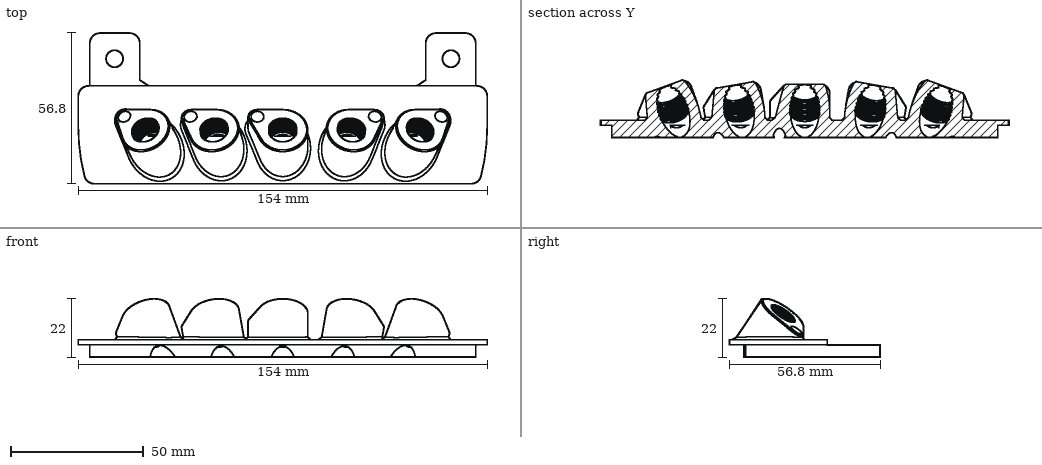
import cadquery as cq
import math

plate_length = 154.0
plate_depth = 37.0
plate_thickness = 2.0
plate_bow_start = 21.4
plate_bow_radius = 73.9
corner_radius = 4.0

frame_thickness = 4.6
frame_half_length = 72.7
bar_front = 5.5
bar_back = 18.0
bar_half_length = 64.5
leg_front = 6.2
leg_front_inner = 68.2
leg_corner_radius = 2.6
leg_inner = 50.5
tab_inner = 53.7
tab_end = 56.8
tab_step = 39.1
tab_hole_position = 63.3
tab_hole_y = 47.1
tab_hole_diameter = 6.3

socket_pitch = 25.9
socket_roll = 10.0
socket_tilt = 33.0
socket_face_y = 20.3
socket_diameter = 19.0
socket_rim_chamfer = 0.5
socket_base_chamfer = 1.0
pin_lobe_radius = 3.5
pin_offset = 9.5
pin_hole_diameter = 4.8
bore_diameter = 10.6
through_length = 61.6

thread_diameter = 11.4
thread_pitch = 1.2
thread_turns = 8
thread_land = 0.2

overall_height = 22.0
plate_top = frame_thickness + plate_thickness
socket_radius = socket_diameter / 2


def make_plate():
    half = plate_length / 2
    bow_at_front = plate_bow_radius - math.sqrt(plate_bow_radius**2 - plate_bow_start**2)
    bow_middle = plate_bow_start / 2
    bow_at_middle = plate_bow_radius - math.sqrt(plate_bow_radius**2 - bow_middle**2)
    return (
        cq.Workplane("XY", origin=(0, 0, frame_thickness))
        .moveTo(-half, plate_depth)
        .lineTo(half, plate_depth)
        .lineTo(half, plate_bow_start)
        .threePointArc((half - bow_at_middle, bow_middle), (half - bow_at_front, 0))
        .lineTo(bow_at_front - half, 0)
        .threePointArc((bow_at_middle - half, bow_middle), (-half, plate_bow_start))
        .close()
        .extrude(plate_thickness)
        .edges("|Z")
        .edges("<Y or >Y")
        .fillet(corner_radius)
    )


def make_frame():
    right_half = (
        cq.Workplane("XY")
        .moveTo(0, bar_front)
        .lineTo(bar_half_length, bar_front)
        .lineTo(leg_front_inner, leg_front)
        .lineTo(frame_half_length, leg_front)
        .lineTo(frame_half_length, tab_end)
        .lineTo(tab_inner, tab_end)
        .lineTo(tab_inner, tab_step)
        .lineTo(leg_inner, plate_depth)
        .lineTo(leg_inner, bar_back)
        .lineTo(0, bar_back)
        .close()
        .extrude(frame_thickness)
    )
    right_half = right_half.edges("|Z and >Y").fillet(corner_radius)
    front_corner = cq.selectors.NearestToPointSelector((frame_half_length, leg_front, frame_thickness / 2))
    right_half = right_half.edges(front_corner).fillet(leg_corner_radius)
    frame = right_half.union(right_half.mirror("YZ"))
    tab_holes = (
        cq.Workplane("XY")
        .pushPoints([(-tab_hole_position, tab_hole_y), (tab_hole_position, tab_hole_y)])
        .circle(tab_hole_diameter / 2)
        .extrude(frame_thickness)
    )
    return frame.cut(tab_holes)


def socket_plane(place):
    """Plane on the socket's upper face, leaning back by the tilt and sideways by the roll."""
    tilt = math.radians(socket_tilt)
    roll = math.radians(socket_roll * place)
    normal = (math.cos(tilt) * math.sin(roll), math.sin(tilt), math.cos(tilt) * math.cos(roll))
    across = (math.cos(roll), 0, -math.sin(roll))
    rim_rise = (socket_radius - socket_rim_chamfer) * math.sqrt(1 - normal[2] ** 2)
    centre = (socket_pitch * place, socket_face_y, overall_height - rim_rise)
    return cq.Plane(origin=centre, xDir=across, normal=normal)


def pin_centre(side):
    return side * pin_offset, socket_radius - pin_lobe_radius


def make_socket_body(plane, side):
    """Teardrop prism: a large round and a small pin lobe joined by two tangent flats."""
    lobe_x, lobe_y = pin_centre(side)
    lobe_angle = math.atan2(lobe_y, pin_offset)
    tangent_angle = 2 * lobe_angle - math.pi / 2

    def on_lobe(angle):
        return lobe_x + side * pin_lobe_radius * math.cos(angle), lobe_y + pin_lobe_radius * math.sin(angle)

    def on_round(angle):
        return side * socket_radius * math.cos(angle), socket_radius * math.sin(angle)

    body = (
        cq.Workplane(plane)
        .moveTo(*on_round(math.pi / 2))
        .threePointArc(on_round(math.pi), on_round(tangent_angle))
        .lineTo(*on_lobe(tangent_angle))
        .threePointArc(on_lobe(lobe_angle), on_lobe(math.pi / 2))
        .close()
        .extrude(-through_length)
    )
    rim = body.faces(cq.selectors.NearestToPointSelector(plane.origin.toTuple())).edges()
    return rim.chamfer(socket_rim_chamfer)


def add_socket(plate, plane, side):
    """Plate with one socket, chamfered along the line where they meet."""
    above = (
        cq.Workplane("XY", origin=(0, 0, frame_thickness))
        .rect(2 * plate_length, 2 * plate_length)
        .extrude(overall_height)
    )
    joined = plate.union(make_socket_body(plane, side).intersect(above))
    gap = plate_thickness / 10
    at_plate_top = cq.selectors.BoxSelector(
        (-plate_length, 0, plate_top - gap), (plate_length, plate_depth, plate_top + gap)
    )
    upper_face = joined.faces(at_plate_top)
    foot = upper_face.val().innerWires()[0].Edges()
    return joined.newObject(foot).chamfer(socket_base_chamfer)


def make_socket_cuts(plane, side):
    """Bore with thread grooves, and the pin hole beside it."""
    bore = cq.Workplane(plane).circle(bore_diameter / 2).extrude(-through_length)
    pin_hole = (
        cq.Workplane(plane)
        .center(*pin_centre(side))
        .circle(pin_hole_diameter / 2)
        .extrude(-through_length)
    )
    bore_radius = bore_diameter / 2
    outline = cq.Workplane("XZ").moveTo(0, 0).lineTo(bore_radius, 0)
    for turn in range(thread_turns):
        start = -turn * thread_pitch
        outline = (
            outline.lineTo(bore_radius, start - thread_land)
            .lineTo(thread_diameter / 2, start - thread_pitch / 2)
            .lineTo(bore_radius, start - thread_pitch + thread_land)
            .lineTo(bore_radius, start - thread_pitch)
        )
    thread = outline.lineTo(0, -thread_turns * thread_pitch).close().revolve(360, (0, 0, 0), (0, 1, 0))
    thread = cq.Workplane(thread.val().moved(cq.Location(plane)))
    return bore.union(thread).union(pin_hole)


plate = make_plate()
result = make_frame().union(plate)

sockets = [(socket_plane(place), 1 if place > 0 else -1) for place in (-2, -1, 0, 1, 2)]
for plane, side in sockets:
    result = result.union(add_socket(plate, plane, side))
for plane, side in sockets:
    result = result.cut(make_socket_cuts(plane, side))